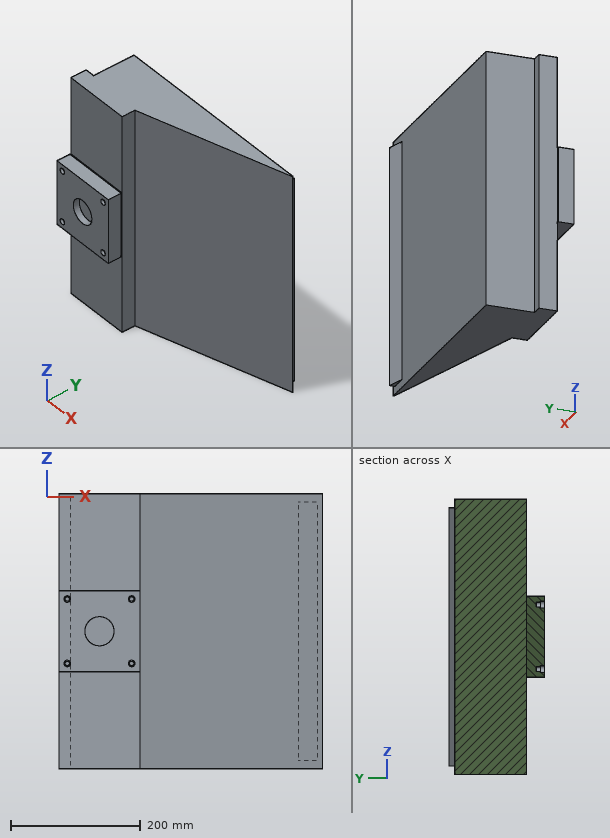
import cadquery as cq

height = 426.0
length = 408.0
depth = 148.0

block_side = 125.5
block_depth = 26.0
seat_gap_depth = 1.5
seat_inset = 0.5
bore_diameter = 45.0
bore_depth = 12.0
screw_spacing = 99.5
screw_diameter = 7.0
counterbore_diameter = 10.2
screw_depth = 12.8
counterbore_depth = 6.5

front_y = block_depth + seat_gap_depth
back_y = 139.0
ledge_width = 18.5
ledge_y = 58.5
slope_start_y = 53.2
tip_thickness = 1.3

wedge_height = 399.5
wedge_end_x = 400.5
wedge_height_y = depth - back_y
face_slope = (back_y - tip_thickness - slope_start_y) / (length - block_side)
wedge_width = wedge_height_y / face_slope


def make_housing():
    """Box with a stepped left side and a nose that tapers to the right."""
    outline = [
        (0, front_y),
        (block_side, front_y),
        (block_side, slope_start_y),
        (length, back_y - tip_thickness),
        (length, back_y),
        (ledge_width, back_y),
        (ledge_width, ledge_y),
        (0, ledge_y),
    ]
    return cq.Workplane("XY").polyline(outline).close().extrude(height)


def make_block():
    """Square block with a central bore and four counterbored corner screw holes."""
    center_x = block_side / 2
    center_z = height / 2
    block = cq.Workplane("XY").box(block_side, block_depth, block_side)
    block = block.translate((center_x, block_depth / 2, center_z))
    land_side = block_side - 2 * seat_inset
    land = cq.Workplane("XY").box(land_side, seat_gap_depth, land_side)
    land = land.translate((center_x, block_depth + seat_gap_depth / 2, center_z))
    face = cq.Workplane("XZ", origin=(center_x, 0, center_z))
    bore = face.circle(bore_diameter / 2).extrude(-bore_depth)
    block = block.union(land).cut(bore)
    screws = block.copyWorkplane(face).rect(screw_spacing, screw_spacing, forConstruction=True).vertices()
    return screws.cboreHole(screw_diameter, counterbore_diameter, counterbore_depth, screw_depth)


def make_wedge():
    """Triangular strip whose upper face runs parallel to the housing slope."""
    outline = [
        (wedge_end_x - wedge_width, back_y),
        (wedge_end_x, back_y),
        (wedge_end_x, depth),
    ]
    wedge = cq.Workplane("XY").polyline(outline).close().extrude(wedge_height)
    return wedge.translate((0, 0, (height - wedge_height) / 2))


housing = make_housing()
block = make_block()
wedge = make_wedge()
result = cq.Compound.makeCompound([housing.val(), block.val(), wedge.val()])